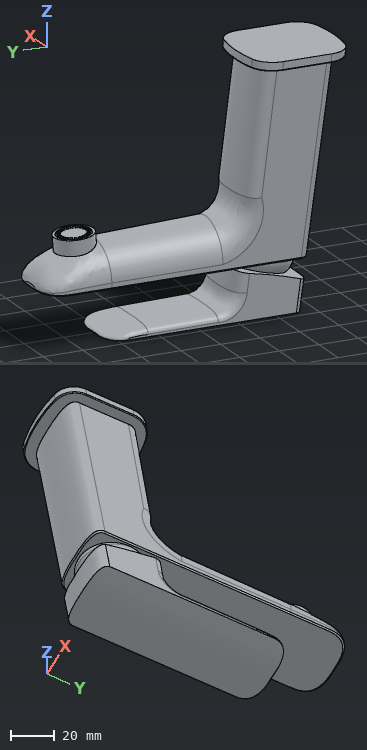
import cadquery as cq
import math


PLATE_WIDTH = 48.0
PLATE_DEPTH = 50.0
PLATE_THICKNESS = 4.3
PLATE_END_RISE = 4.0
PLATE_CORNER_RADIUS = 11.5
PLATE_SHIFT = 0.5
PLATE_CHAMFER = 0.5
TOP_Z = 125.3

HALF_WIDTH = 18.5

COLUMN_TOP_Z = TOP_Z - PLATE_THICKNESS
COLUMN_BASE_Z = 27.2
SOLE_THICKNESS = 0.8
SOLE_INSET = 0.6
COLUMN_BACK_TOP_Y = 6.6
COLUMN_FRONT_TOP_Y = 45.7
BACK_LEAN = math.radians(8.0)
FRONT_LEAN = math.radians(7.3)
FRONT_CAP = 8.0
FRONT_POWER = 2.5
BACK_CAP = 5.8
BACK_POWER = 2.7

SPOUT_ELBOW_Y = 65.2
SPOUT_ELBOW_Z = 59.1
SPOUT_NOSE_Y = 121.5
SPOUT_TIP_Y = 153.9
SPOUT_ROOT_HEIGHT = 20.5
SPOUT_NOSE_HEIGHT = 18.5
SPOUT_PLAN_ROUND = 13.8
SPOUT_POWER = 2.0
SPOUT_REAR_Y = 44.6

AERATOR_Y = 131.9
AERATOR_TOP_Z = 49.7
AERATOR_RADIUS = 10.0
AERATOR_LENGTH = 12.3
AERATOR_TILT = 5.0
GROOVE_OUTER_RADIUS = 8.5
GROOVE_INNER_RADIUS = 7.7
GROOVE_DEPTH = 0.8
SLOT_COUNT = 20
SLOT_WIDTH = 1.1
SLOT_INNER_RADIUS = 6.2
SLOT_LENGTH = GROOVE_OUTER_RADIUS - SLOT_INNER_RADIUS
SLOT_MIDDLE_RADIUS = (GROOVE_OUTER_RADIUS + SLOT_INNER_RADIUS) / 2

NECK_Y = 38.8
NECK_RADIUS = 17.0
NECK_ROUND = 10.0
NECK_LENGTH = 11.1
NECK_OVERLAP = 3.1

LEVER_ELBOW_Y = 67.5
LEVER_ELBOW_Z = 14.3
LEVER_NOSE_Y = 103.1
LEVER_TIP_Y = 121.9
LEVER_ROOT_HEIGHT = 6.6
LEVER_NOSE_HEIGHT = 5.8
LEVER_PLAN_ROUND = 10.8
LEVER_POWER = 3.5
LEVER_BACK_BASE_Y = 23.2
LEVER_FRONT_Y = 59.9
LEVER_FRONT_CAP = 7.7
LEVER_REAR_Y = 50.8
LEVER_BLOCK_Z = 27.7
LEVER_TOP_BACK = (21.0, 15.4)
LEVER_TOP_MIDDLE = (37.4, 20.3)
LEVER_TOP_FRONT = (59.0, 24.8)
LEVER_BELLY = 0.8

ARCH_STEPS = 16
ELBOW_STEPS = 9
WALL_SHARE = 0.13
NOSE_STEPS = 12
TIP_BLUNTING = 0.99
NOSE_TOP_POWER = 0.65
PLAN_POWER = 2.9
MARGIN = 30.8


def arch_points(half_width, cap, power):
    """Superelliptic arch as (x, depth below the crown), from -X to +X."""
    points = []
    for step in range(ARCH_STEPS + 1):
        angle = math.pi * (1 - step / ARCH_STEPS)
        across = math.copysign(abs(math.cos(angle)) ** (2 / power), math.cos(angle))
        rise = abs(math.sin(angle)) ** (2 / power)
        points.append((half_width * across, cap * (1 - rise)))
    return points


def section_wire(place, half_width, depth, front, back=None):
    """Closed section; place(x, d) maps to space, front and back are (cap, power)."""
    crown = [place(x, d) for x, d in arch_points(half_width, *front)]
    edges = [cq.Edge.makeSpline(crown)]
    if back:
        rear = [place(x, depth - d) for x, d in reversed(arch_points(half_width, *back))]
        edges.append(cq.Edge.makeSpline(rear))
    else:
        rear = [place(half_width, depth), place(-half_width, depth)]
        edges.append(cq.Edge.makeLine(*rear))
    edges.append(cq.Edge.makeLine(crown[-1], rear[0]))
    edges.append(cq.Edge.makeLine(rear[-1], crown[0]))
    return cq.Wire.assembleEdges(edges)


def loft(wires, ruled=False):
    return cq.Workplane(obj=cq.Solid.makeLoft(wires, ruled))


def block(y_min, y_max, z_min, z_max):
    """Box reaching past the part on both X sides."""
    return cq.Workplane().box(
        4 * HALF_WIDTH, y_max - y_min, z_max - z_min, centered=(True, False, False)
    ).translate((0, y_min, z_min))


def level_section(z, back_y, front_y, front_cap):
    def place(x, d):
        return cq.Vector(x, front_y - d, z)

    return section_wire(
        place, HALF_WIDTH, front_y - back_y, (front_cap, FRONT_POWER), (BACK_CAP, BACK_POWER)
    )


def arm_section(y, base_z, height, half_width, power):
    def place(x, d):
        return cq.Vector(x, y, base_z + height - d)

    cap = height * (1 - WALL_SHARE)
    return section_wire(place, half_width, height, (cap, power))


def arm(base_z, root_y, nose_y, tip_y, root_height, nose_height, plan_round, power):
    """Straight reach from root to nose, then a nose falling to a rounded tip."""
    root = arm_section(root_y, base_z, root_height, HALF_WIDTH, power)
    nose = []
    for step in range(NOSE_STEPS + 1):
        station = math.sin(step / NOSE_STEPS * math.pi / 2)
        y = nose_y + station * (tip_y - nose_y)
        height = nose_height * (1 - (TIP_BLUNTING * station) ** 2) ** NOSE_TOP_POWER
        turn = TIP_BLUNTING * max(0.0, 1 - (tip_y - y) / plan_round)
        half_width = HALF_WIDTH * (1 - turn**PLAN_POWER) ** (1 / PLAN_POWER)
        nose.append(arm_section(y, base_z, height, half_width, power))
    return loft([root, nose[0]], ruled=True).union(loft(nose))


def elbow(base_z, center_y, center_z, root_height, front_y, front_cap, power, rear_y):
    """Concave bend that turns the arm section into the front of the upright."""
    reach = math.hypot(center_y - rear_y, center_z - base_z)
    arm_radius = center_z - base_z - root_height
    arm_cap = root_height * (1 - WALL_SHARE)
    wires = []
    for step in range(ELBOW_STEPS):
        share = step / (ELBOW_STEPS - 1)
        angle = share * math.pi / 2
        radius = arm_radius + share * (center_y - front_y - arm_radius)
        cap = arm_cap + share * (front_cap - arm_cap)
        section_power = power + share * (FRONT_POWER - power)

        def place(x, d):
            distance = radius + d
            return cq.Vector(
                x, center_y - distance * math.sin(angle), center_z - distance * math.cos(angle)
            )

        wires.append(section_wire(place, HALF_WIDTH, reach - radius, (cap, section_power)))
    keep = block(rear_y - MARGIN, center_y, base_z, center_z)
    return loft(wires).intersect(keep)


def column_back_y(z):
    return COLUMN_BACK_TOP_Y + (COLUMN_TOP_Z - z) * math.tan(BACK_LEAN)


def column_front_y(z):
    return COLUMN_FRONT_TOP_Y + (COLUMN_TOP_Z - z) * math.tan(FRONT_LEAN)


def column_section(z):
    return level_section(z, column_back_y(z), column_front_y(z), FRONT_CAP)


def plate_outline(shift):
    half = PLATE_WIDTH / 2
    rear_corner_y = shift + PLATE_END_RISE
    front_corner_y = shift + PLATE_DEPTH - PLATE_END_RISE
    return (
        cq.Sketch()
        .segment((half, rear_corner_y), (half, front_corner_y))
        .arc((half, front_corner_y), (0, shift + PLATE_DEPTH), (-half, front_corner_y))
        .segment((-half, front_corner_y), (-half, rear_corner_y))
        .arc((-half, rear_corner_y), (0, shift), (half, rear_corner_y))
        .assemble()
        .vertices()
        .fillet(PLATE_CORNER_RADIUS)
    )


def plate():
    bottom = plate_outline(PLATE_SHIFT)
    top = plate_outline(0).moved(cq.Location(cq.Vector(0, 0, PLATE_THICKNESS)))
    slab = cq.Workplane(origin=(0, 0, COLUMN_TOP_Z)).placeSketch(bottom, top).loft()
    return slab.faces("<Z").edges().chamfer(PLATE_CHAMFER)


def column():
    """Leaning upright; its lower front makes way for the spout elbow."""
    upright = loft([column_section(COLUMN_BASE_Z), column_section(COLUMN_TOP_Z)])
    return upright.cut(block(SPOUT_REAR_Y, SPOUT_ELBOW_Y, COLUMN_BASE_Z, SPOUT_ELBOW_Z))


def spout():
    bend = elbow(
        COLUMN_BASE_Z, SPOUT_ELBOW_Y, SPOUT_ELBOW_Z, SPOUT_ROOT_HEIGHT,
        column_front_y(SPOUT_ELBOW_Z), FRONT_CAP, SPOUT_POWER, SPOUT_REAR_Y,
    )
    reach = arm(
        COLUMN_BASE_Z, SPOUT_ELBOW_Y, SPOUT_NOSE_Y, SPOUT_TIP_Y,
        SPOUT_ROOT_HEIGHT, SPOUT_NOSE_HEIGHT, SPOUT_PLAN_ROUND, SPOUT_POWER,
    )
    return bend.union(reach)


def sole():
    """Thin bevelled layer under the column and spout."""
    back_y = column_back_y(COLUMN_BASE_Z)

    def outline(z, inset):
        def place(x, d):
            return cq.Vector(x, SPOUT_TIP_Y - inset - d, z)

        return section_wire(
            place,
            HALF_WIDTH - inset,
            SPOUT_TIP_Y - back_y - 2 * inset,
            (SPOUT_PLAN_ROUND, PLAN_POWER),
            (BACK_CAP, BACK_POWER),
        )

    return loft([outline(COLUMN_BASE_Z - SOLE_THICKNESS, SOLE_INSET), outline(COLUMN_BASE_Z, 0)])


def aerator():
    """Tilted nozzle with a ring groove and radial slots in its outer face."""
    body = cq.Workplane().circle(AERATOR_RADIUS).extrude(-AERATOR_LENGTH)
    groove = (
        cq.Workplane()
        .circle(GROOVE_OUTER_RADIUS)
        .circle(GROOVE_INNER_RADIUS)
        .extrude(-GROOVE_DEPTH)
    )
    slots = (
        cq.Workplane()
        .polarArray(SLOT_MIDDLE_RADIUS, 0, 360, SLOT_COUNT)
        .rect(SLOT_LENGTH, SLOT_WIDTH)
        .extrude(-GROOVE_DEPTH)
    )
    nozzle = body.cut(groove).cut(slots)
    return nozzle.rotate((0, 0, 0), (1, 0, 0), -AERATOR_TILT).translate((0, AERATOR_Y, AERATOR_TOP_Z))


def neck():
    """Round-ended plug that follows the lean of the column."""
    return (
        cq.Workplane()
        .workplane(offset=NECK_OVERLAP)
        .circle(NECK_RADIUS)
        .extrude(-NECK_OVERLAP - NECK_LENGTH)
        .faces("<Z")
        .edges()
        .fillet(NECK_ROUND)
        .rotate((0, 0, 0), (1, 0, 0), math.degrees(BACK_LEAN))
        .translate((0, NECK_Y, COLUMN_BASE_Z))
    )


def lever():
    """Short copy of the column-and-spout form with a sloping top."""
    def upright_section(z):
        back_y = LEVER_BACK_BASE_Y - z * math.tan(BACK_LEAN)
        front_y = LEVER_FRONT_Y + (LEVER_ELBOW_Z - z) * math.tan(FRONT_LEAN)
        return level_section(z, back_y, front_y, LEVER_FRONT_CAP)

    upright = loft([upright_section(0), upright_section(LEVER_BLOCK_Z)])
    upright = upright.cut(block(LEVER_REAR_Y, LEVER_ELBOW_Y, 0, LEVER_ELBOW_Z))
    bend = elbow(
        0, LEVER_ELBOW_Y, LEVER_ELBOW_Z, LEVER_ROOT_HEIGHT,
        LEVER_FRONT_Y, LEVER_FRONT_CAP, LEVER_POWER, LEVER_REAR_Y,
    )
    reach = arm(
        0, LEVER_ELBOW_Y, LEVER_NOSE_Y, LEVER_TIP_Y,
        LEVER_ROOT_HEIGHT, LEVER_NOSE_HEIGHT, LEVER_PLAN_ROUND, LEVER_POWER,
    )
    whole = upright.union(bend).union(reach)

    above_top = (
        cq.Workplane("YZ")
        .moveTo(0, LEVER_TOP_BACK[1])
        .lineTo(*LEVER_TOP_BACK)
        .threePointArc(LEVER_TOP_MIDDLE, LEVER_TOP_FRONT)
        .lineTo(LEVER_TIP_Y, LEVER_TOP_FRONT[1])
        .lineTo(LEVER_TIP_Y, COLUMN_TOP_Z)
        .lineTo(0, COLUMN_TOP_Z)
        .close()
        .extrude(HALF_WIDTH + MARGIN, both=True)
    )
    belly = (
        cq.Workplane("XZ")
        .moveTo(-HALF_WIDTH, LEVER_BELLY)
        .threePointArc((0, 0), (HALF_WIDTH, LEVER_BELLY))
        .lineTo(HALF_WIDTH, COLUMN_TOP_Z)
        .lineTo(-HALF_WIDTH, COLUMN_TOP_Z)
        .close()
        .extrude(-LEVER_TIP_Y)
    )
    return whole.cut(above_top).intersect(belly)


result = plate().union(column()).union(spout()).union(sole()).union(aerator()).union(neck()).union(lever())